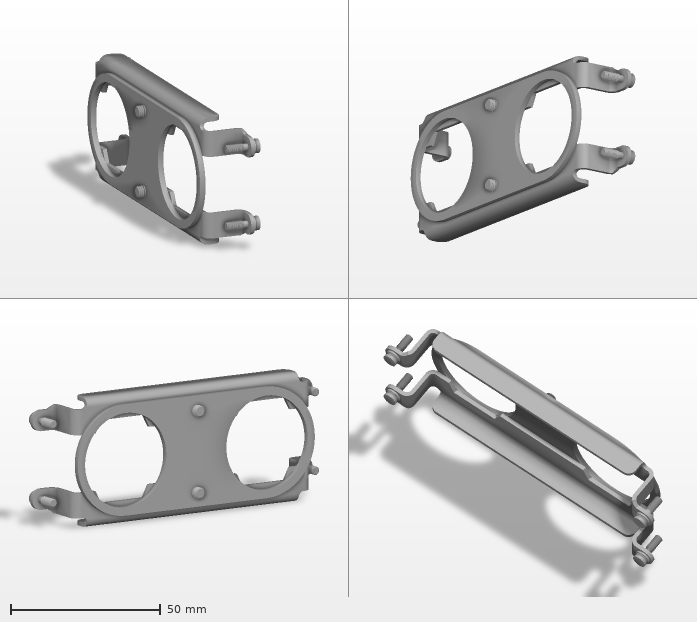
import cadquery as cq
import math


PLATE_THICKNESS = 2.0
PLATE_RADIUS = 19.0
OPENING_X = 28.0
OPENING_RADIUS = 16.1

SHEET = 1.4
BEND_RADIUS = 3.0
RAIL_INNER_Z = 9.9
EAR_OUTER_Z = 18.5
NOTCH_DEPTH_Z = 14.2
NOTCH_HALF_MOUTH = 10.7
NOTCH_HALF_FLOOR = 8.4
WEB_BACK = PLATE_THICKNESS + SHEET

FLANGE_OUTER_Z = 22.1
FLANGE_BEND_Z = FLANGE_OUTER_Z - BEND_RADIUS
FLANGE_HALF_LENGTH = 42.0
FLANGE_BACK = 10.1
FLANGE_CORNER_RADIUS = 3.0
RELIEF_RADIUS = 1.7

LENGTH = 111.0
EAR_TIP_RADIUS = 3.5
EAR_BACK = 16.4
EAR_FRONT = EAR_BACK - SHEET
EAR_WALL_X = 45.6
EAR_WALL_OUTER_X = EAR_WALL_X + SHEET
EAR_BEND_RADIUS = 3.3
EAR_BEND_X = EAR_WALL_X + EAR_BEND_RADIUS
LOWER_BEND_X = EAR_WALL_OUTER_X - BEND_RADIUS
SHOULDER_ANGLE = 45
EAR_BEND_Y = EAR_BACK - EAR_BEND_RADIUS
EAR_NARROW_Z = RAIL_INNER_Z + 2 * EAR_TIP_RADIUS

SCREW_X = LENGTH / 2 - EAR_TIP_RADIUS
SCREW_Z = RAIL_INNER_Z + EAR_TIP_RADIUS
SCREW_BACK = 18.9
SCREW_TIP = 7.3
NECK_FRONT = 13.5
NECK_RADIUS = 1.2
HEAD_RADIUS = 2.4
HEAD_GROOVE_RADIUS = 2.1
HEAD_GROOVE_BACK = 17.9
COLLAR_RADIUS = 2.8
COLLAR_BACK = 17.1
SCREW_THREAD_RADIUS = 1.4
SCREW_PITCH = 0.5

STUD_Z = 14.0
STUD_TIP = -2.4
STUD_RADIUS = 2.0
STUD_PITCH = 0.7

THREAD_DEPTH_PER_PITCH = 0.6
SIDES = (-1, 1)


def mirror_solid(solid, side_x, side_z):
    """Move a solid modelled at +X, +Z to the chosen side of the part."""
    if side_x < 0:
        solid = solid.mirror("YZ")
    if side_z < 0:
        solid = solid.mirror("XY")
    return solid


def thread_outline(radius, pitch, tip, end):
    """(radius, Y) points from the tapered tip along ring-shaped thread grooves to the end."""
    root = radius - THREAD_DEPTH_PER_PITCH * pitch
    points = [(root, tip)]
    for turn in range(math.floor((end - tip) / pitch)):
        root_y = tip + turn * pitch
        points += [(radius, root_y + pitch / 2), (root, root_y + pitch)]
    return points


def revolve_outline(points, x, z):
    """Revolve (radius, Y) points about a line parallel to Y through (x, z)."""
    body = cq.Workplane("XY").polyline(points).close().revolve(360, (0, 0, 0), (0, 1, 0))
    return body.translate((x, 0, z))


def front_plane(y):
    """Workplane with local axes +X and +Z whose extrusions run towards +Y."""
    return cq.Workplane(cq.Plane(origin=(0, y, 0), xDir=(1, 0, 0), normal=(0, -1, 0)))


def make_plate():
    plate = front_plane(0).slot2D(2 * (OPENING_X + PLATE_RADIUS), 2 * PLATE_RADIUS).extrude(-PLATE_THICKNESS)
    openings = front_plane(0).pushPoints([(side * OPENING_X, 0) for side in SIDES])
    return plate.cut(openings.circle(OPENING_RADIUS).extrude(-PLATE_THICKNESS))


def make_web_and_flange():
    """Web of the +Z rail, bent back into the long flange along its outer edge."""
    bend_center_y = PLATE_THICKNESS + BEND_RADIUS
    inner_radius = BEND_RADIUS - SHEET
    diagonal = math.sqrt(0.5)
    relief_x = FLANGE_HALF_LENGTH + RELIEF_RADIUS
    rail = (
        cq.Workplane("YZ")
        .moveTo(PLATE_THICKNESS, RAIL_INNER_Z)
        .lineTo(PLATE_THICKNESS, FLANGE_BEND_Z)
        .threePointArc(
            (bend_center_y - BEND_RADIUS * diagonal, FLANGE_BEND_Z + BEND_RADIUS * diagonal),
            (bend_center_y, FLANGE_OUTER_Z),
        )
        .lineTo(FLANGE_BACK, FLANGE_OUTER_Z)
        .lineTo(FLANGE_BACK, FLANGE_OUTER_Z - SHEET)
        .lineTo(bend_center_y, FLANGE_OUTER_Z - SHEET)
        .threePointArc(
            (bend_center_y - inner_radius * diagonal, FLANGE_BEND_Z + inner_radius * diagonal),
            (WEB_BACK, FLANGE_BEND_Z),
        )
        .lineTo(WEB_BACK, RAIL_INNER_Z)
        .close()
        .extrude(LOWER_BEND_X, both=True)
    )

    flange_end = (
        front_plane(PLATE_THICKNESS)
        .moveTo(FLANGE_HALF_LENGTH, FLANGE_OUTER_Z)
        .lineTo(FLANGE_HALF_LENGTH, EAR_OUTER_Z + RELIEF_RADIUS)
        .radiusArc((relief_x, EAR_OUTER_Z), -RELIEF_RADIUS)
        .lineTo(EAR_WALL_X, EAR_OUTER_Z)
        .lineTo(EAR_WALL_X, FLANGE_OUTER_Z)
        .close()
        .extrude(PLATE_THICKNESS - FLANGE_BACK)
    )
    for side in SIDES:
        rail = rail.cut(mirror_solid(flange_end, side, 1))

    return rail.edges("|Z and >Y").fillet(FLANGE_CORNER_RADIUS)


def make_web_notch():
    """Tapered notch in the inner edge of the web, behind the +X opening."""
    corners = [
        (OPENING_X - NOTCH_HALF_MOUTH, RAIL_INNER_Z),
        (OPENING_X - NOTCH_HALF_FLOOR, NOTCH_DEPTH_Z),
        (OPENING_X + NOTCH_HALF_FLOOR, NOTCH_DEPTH_Z),
        (OPENING_X + NOTCH_HALF_MOUTH, RAIL_INNER_Z),
    ]
    return front_plane(PLATE_THICKNESS).polyline(corners).close().extrude(-SHEET)


def make_shoulder_cut():
    """Wedge that narrows the ear along its bend, with every cut line square to the sheet."""
    sections = []
    reach = 2 * EAR_BEND_RADIUS
    top_z = FLANGE_OUTER_Z
    for degrees, bottom_z in [(0, EAR_NARROW_Z), (SHOULDER_ANGLE, EAR_OUTER_Z)]:
        angle = math.radians(degrees)
        end_x = EAR_BEND_X - reach * math.sin(angle)
        end_y = EAR_BEND_Y + reach * math.cos(angle)
        corners = [
            (EAR_BEND_X, EAR_BEND_Y, bottom_z),
            (end_x, end_y, bottom_z),
            (end_x, end_y, top_z),
            (EAR_BEND_X, EAR_BEND_Y, top_z),
        ]
        sections.append(cq.Wire.makePolygon([cq.Vector(*corner) for corner in corners], close=True))
    return cq.Workplane(cq.Solid.makeLoft(sections, True))


def make_ear():
    """Z-shaped ear at +X, +Z: out of the web, straight back, then outwards to a round tip."""
    lower_bend_y = PLATE_THICKNESS + BEND_RADIUS
    strip = (
        cq.Workplane("XY")
        .moveTo(LOWER_BEND_X, PLATE_THICKNESS)
        .radiusArc((EAR_WALL_OUTER_X, lower_bend_y), -BEND_RADIUS)
        .lineTo(EAR_WALL_OUTER_X, EAR_BEND_Y)
        .radiusArc((EAR_BEND_X, EAR_FRONT), EAR_BEND_RADIUS - SHEET)
        .lineTo(LENGTH / 2, EAR_FRONT)
        .lineTo(LENGTH / 2, EAR_BACK)
        .lineTo(EAR_BEND_X, EAR_BACK)
        .radiusArc((EAR_WALL_X, EAR_BEND_Y), -EAR_BEND_RADIUS)
        .lineTo(EAR_WALL_X, lower_bend_y)
        .radiusArc((LOWER_BEND_X, WEB_BACK), BEND_RADIUS - SHEET)
        .close()
        .extrude(EAR_OUTER_Z)
    )
    outline = (
        front_plane(PLATE_THICKNESS)
        .moveTo(LOWER_BEND_X, RAIL_INNER_Z)
        .lineTo(SCREW_X, RAIL_INNER_Z)
        .threePointArc((LENGTH / 2, SCREW_Z), (SCREW_X, EAR_NARROW_Z))
        .lineTo(EAR_BEND_X, EAR_NARROW_Z)
        .lineTo(EAR_BEND_X, EAR_OUTER_Z)
        .lineTo(LOWER_BEND_X, EAR_OUTER_Z)
        .close()
        .extrude(PLATE_THICKNESS - EAR_BACK)
    )
    screw_hole = front_plane(EAR_FRONT).center(SCREW_X, SCREW_Z).circle(NECK_RADIUS).extrude(-SHEET)
    return strip.intersect(outline).cut(make_shoulder_cut()).cut(screw_hole)


def make_stud(side_z):
    """Threaded stud that stands out of the plate's front face."""
    thread = thread_outline(STUD_RADIUS, STUD_PITCH, STUD_TIP, 0)
    shank = [(STUD_RADIUS, thread[-1][1]), (STUD_RADIUS, WEB_BACK), (0, WEB_BACK)]
    return revolve_outline([(0, STUD_TIP)] + thread + shank, 0, side_z * STUD_Z)


def make_bracket():
    """Plate, two rails with their ears, and the two studs as one welded body."""
    bracket = make_plate()
    rail = make_web_and_flange()
    notch = make_web_notch()
    ear = make_ear()
    for side_x in SIDES:
        rail = rail.cut(mirror_solid(notch, side_x, 1))
        rail = rail.union(mirror_solid(ear, side_x, 1))
    for side_z in SIDES:
        bracket = bracket.union(mirror_solid(rail, 1, side_z))
        bracket = bracket.union(make_stud(side_z))
    return bracket


def make_screw(side_x, side_z):
    """Captive screw whose neck fills the ear's hole and whose collar rests on the ear's back."""
    thread = thread_outline(SCREW_THREAD_RADIUS, SCREW_PITCH, SCREW_TIP, NECK_FRONT)
    neck_and_head = [
        (NECK_RADIUS, NECK_FRONT),
        (NECK_RADIUS, EAR_BACK),
        (COLLAR_RADIUS, EAR_BACK),
        (COLLAR_RADIUS, COLLAR_BACK),
        (HEAD_RADIUS, COLLAR_BACK),
        (HEAD_GROOVE_RADIUS, (COLLAR_BACK + HEAD_GROOVE_BACK) / 2),
        (HEAD_RADIUS, HEAD_GROOVE_BACK),
        (HEAD_RADIUS, SCREW_BACK),
        (0, SCREW_BACK),
    ]
    return revolve_outline([(0, SCREW_TIP)] + thread + neck_and_head, side_x * SCREW_X, side_z * SCREW_Z)


bracket = make_bracket()
screws = [make_screw(side_x, side_z) for side_x in SIDES for side_z in SIDES]

result = cq.Compound.makeCompound([bracket.val(), *[screw.val() for screw in screws]])